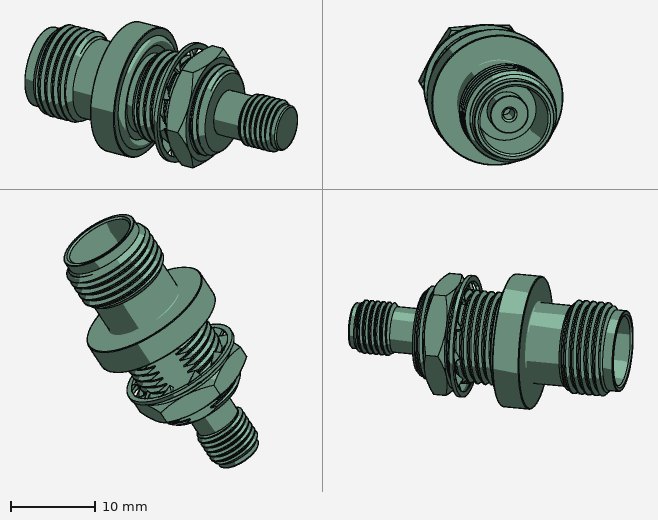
import cadquery as cq
import math

LENGTH = 33.02
BARREL_DIA = 9.65
FLANGE_START = 10.65
FLANGE_END = 13.95
FLANGE_DIA = 15.85
FLANGE_CHAMFER = 0.1
FLANGE_FILLET = 0.15
BARREL_END = 24.57
STEM_DIA = 5.45
RIM_CHAMFER = 0.05
STEM_CHAMFER = 0.15

LARGE_THREAD_DIA = 11.13
LARGE_PITCH = 3.63 / 4
LARGE_DEPTH = 0.5
LARGE_ROOT_WIDTH = 0.15
SOCKET_THREAD_START = 1.22
SOCKET_THREAD_END = 6.57
SOCKET_CREST_X = 2.25
MOUNT_THREAD_START = 14.7
MOUNT_CREST_X = 15.7
MOUNT_FLAT_Z = -4.85

SMALL_THREAD_DIA = 6.35
SMALL_PITCH = 4.95 / 7
SMALL_DEPTH = 0.4
SMALL_ROOT_WIDTH = 0.1
SMALL_THREAD_START = 27.9
SMALL_THREAD_END = 32.33
SMALL_CREST_X = 28.2

THREAD_ANGLE = 60.0
GROOVE_OVERCUT = 0.03

SOCKET_RIM_DIA = 8.75
SOCKET_MOUTH_DIA = 8.25
SOCKET_MOUTH_DEPTH = 0.2
SOCKET_FLOOR_DIA = 7.25
SOCKET_DEPTH = 5.28
BOSS_DIA = 4.55
BOSS_CHAMFER = 0.05
BOSS_FRONT = 3.1
CONTACT_RIM_DIA = 1.85
CONTACT_HOLE_DIA = 1.35
CONTACT_HOLE_DEPTH = 2.97

ORING_DIA = 13.9
ORING_SECTION_DIA = 1.2

WASHER_START = 18.95
WASHER_THICKNESS = 0.45
WASHER_DIA = 14.5
WASHER_BORE = 13.2
TOOTH_COUNT = 10
TOOTH_WIDTH = 1.9
TOOTH_TWIST = 30.0
TOOTH_ROOT_THICKNESS = WASHER_THICKNESS - 0.05
TOOTH_ROOT_RADIUS = WASHER_BORE / 2 + 0.05
TOOTH_TIP_RADIUS = LARGE_THREAD_DIA / 2 + 0.03

NUT_START = 20.2
NUT_END = 22.82
NUT_FLATS = 12.68
NUT_CHAMFER_ANGLE = 30.0


def turned(points):
    """Solid of revolution about X from an (x, radius) outline."""
    return cq.Workplane("XY").polyline(points).close().revolve(360, (0, 0, 0), (1, 0, 0))


def cylinder(start, end, diameter):
    return cq.Workplane("YZ", origin=(start, 0, 0)).circle(diameter / 2).extrude(end - start)


def groove_turn(pitch, crest_radius, depth, root_width):
    """One right-handed turn of a V groove about X that starts on the bottom line at X = 0."""
    root_radius = crest_radius - depth
    outer_radius = crest_radius + GROOVE_OVERCUT
    root_half = root_width / 2
    outer_half = root_half + (outer_radius - root_radius) * math.tan(math.radians(THREAD_ANGLE / 2))
    helix = cq.Wire.makeHelix(pitch, pitch, root_radius)
    turn = (
        cq.Workplane("XZ")
        .polyline([
            (root_radius, -root_half),
            (outer_radius, -outer_half),
            (outer_radius, outer_half),
            (root_radius, root_half),
        ])
        .close()
        .sweep(cq.Workplane(helix), isFrenet=True)
    )
    return turn.rotate((0, 0, 0), (0, 1, 0), 90)


def threaded_section(start, end, crest_x, pitch, crest_dia, base_dia, depth, root_width):
    """Threaded length whose ends are chamfered at 45 degrees down to base_dia."""
    crest_radius = crest_dia / 2
    base_radius = base_dia / 2
    chamfer = crest_radius - base_radius
    blank = turned([
        (start, 0),
        (start, base_radius),
        (start + chamfer, crest_radius),
        (end - chamfer, crest_radius),
        (end, base_radius),
        (end, 0),
    ])
    turn = groove_turn(pitch, crest_radius, depth, root_width)
    first_turn = math.floor((start - crest_x) / pitch) - 1
    last_turn = math.ceil((end - crest_x) / pitch)
    for index in range(first_turn, last_turn + 1):
        blank = blank.cut(turn.translate((crest_x + index * pitch, 0, 0)))
    return blank


def make_flange():
    """Barrel and flange, with a concave fillet where the barrel meets the flange."""
    rim = cylinder(FLANGE_START, FLANGE_END, FLANGE_DIA).faces("<X or >X").chamfer(FLANGE_CHAMFER)
    barrel = cylinder(0, MOUNT_THREAD_START, BARREL_DIA).faces("<X").chamfer(RIM_CHAMFER)
    barrel_radius = BARREL_DIA / 2
    fillet = (
        cq.Workplane("XY")
        .moveTo(FLANGE_START - FLANGE_FILLET, barrel_radius)
        .radiusArc((FLANGE_START, barrel_radius + FLANGE_FILLET), -FLANGE_FILLET)
        .lineTo(FLANGE_END, barrel_radius + FLANGE_FILLET)
        .lineTo(FLANGE_END, 0)
        .lineTo(FLANGE_START - FLANGE_FILLET, 0)
        .close()
        .revolve(360, (0, 0, 0), (1, 0, 0))
    )
    return barrel.union(fillet).union(rim)


def make_mount_thread():
    """Threaded mounting barrel with a flat along its underside."""
    thread = threaded_section(
        MOUNT_THREAD_START, BARREL_END, MOUNT_CREST_X,
        LARGE_PITCH, LARGE_THREAD_DIA, BARREL_DIA, LARGE_DEPTH, LARGE_ROOT_WIDTH,
    )
    length = BARREL_END - MOUNT_THREAD_START
    below_flat = (
        cq.Workplane("XY", origin=(MOUNT_THREAD_START, 0, MOUNT_FLAT_Z))
        .rect(2 * length, 2 * LARGE_THREAD_DIA)
        .extrude(-LARGE_THREAD_DIA)
    )
    return thread.cut(below_flat)


def make_socket():
    """Tapered socket space around the insulator boss, with the contact hole in the boss."""
    bore = turned([
        (0, 0),
        (0, SOCKET_RIM_DIA / 2),
        (SOCKET_MOUTH_DEPTH, SOCKET_MOUTH_DIA / 2),
        (SOCKET_DEPTH, SOCKET_FLOOR_DIA / 2),
        (SOCKET_DEPTH, 0),
    ])
    boss = cylinder(BOSS_FRONT, SOCKET_DEPTH, BOSS_DIA).faces("<X").chamfer(BOSS_CHAMFER)
    countersink = (CONTACT_RIM_DIA - CONTACT_HOLE_DIA) / 2
    contact_hole = turned([
        (BOSS_FRONT, 0),
        (BOSS_FRONT, CONTACT_RIM_DIA / 2),
        (BOSS_FRONT + countersink, CONTACT_HOLE_DIA / 2),
        (BOSS_FRONT + CONTACT_HOLE_DEPTH, CONTACT_HOLE_DIA / 2),
        (BOSS_FRONT + CONTACT_HOLE_DEPTH, 0),
    ])
    return bore.cut(boss).union(contact_hole)


def make_oring():
    """Round-section ring centred on the plane of the flange face."""
    section_radius = ORING_SECTION_DIA / 2
    return (
        cq.Workplane("XY")
        .center(FLANGE_END, ORING_DIA / 2 - section_radius)
        .circle(section_radius)
        .revolve(360, (-0.33, section_radius - ORING_DIA / 2, 0), (0.33, section_radius - ORING_DIA / 2, 0))
    )


def make_body(oring):
    socket_thread = threaded_section(
        SOCKET_THREAD_START, SOCKET_THREAD_END, SOCKET_CREST_X,
        LARGE_PITCH, LARGE_THREAD_DIA, BARREL_DIA, LARGE_DEPTH, LARGE_ROOT_WIDTH,
    )
    small_thread = threaded_section(
        SMALL_THREAD_START, SMALL_THREAD_END, SMALL_CREST_X,
        SMALL_PITCH, SMALL_THREAD_DIA, STEM_DIA, SMALL_DEPTH, SMALL_ROOT_WIDTH,
    )
    stem = cylinder(BARREL_END, LENGTH, STEM_DIA).faces(">X").chamfer(STEM_CHAMFER)
    body = make_flange().union(socket_thread).union(make_mount_thread())
    return body.union(stem).union(small_thread).cut(make_socket()).cut(oring)


def washer_tooth():
    """Tooth at +Z that twists about its own radial line from the root to the tip."""
    return (
        cq.Workplane("XY", origin=(0, 0, TOOTH_TIP_RADIUS))
        .transformed(rotate=(0, 0, TOOTH_TWIST))
        .rect(WASHER_THICKNESS, TOOTH_WIDTH)
        .transformed(rotate=(0, 0, -TOOTH_TWIST), offset=(0, 0, TOOTH_ROOT_RADIUS - TOOTH_TIP_RADIUS))
        .rect(TOOTH_ROOT_THICKNESS, TOOTH_WIDTH)
        .loft(ruled=True)
    )


def make_washer():
    end = WASHER_START + WASHER_THICKNESS
    washer = cylinder(WASHER_START, end, WASHER_DIA).cut(cylinder(WASHER_START, end, WASHER_BORE))
    tooth = washer_tooth().translate((WASHER_START + WASHER_THICKNESS / 2, 0, 0))
    for index in range(TOOTH_COUNT):
        angle = 90 + index * 360 / TOOTH_COUNT
        washer = washer.union(tooth.rotate((0, 0, 0), (1, 0, 0), angle))
    return washer


def make_nut():
    """Hexagon nut with flats up and down, its corners chamfered on both faces."""
    corner_dia = NUT_FLATS / math.cos(math.pi / 6)
    blank = cq.Workplane("YZ", origin=(NUT_START, 0, 0)).polygon(6, corner_dia).extrude(NUT_END - NUT_START)
    face_radius = NUT_FLATS / 2
    corner_radius = corner_dia / 2
    drop = (corner_radius - face_radius) * math.tan(math.radians(NUT_CHAMFER_ANGLE))
    envelope = turned([
        (NUT_START, 0),
        (NUT_START, face_radius),
        (NUT_START + drop, corner_radius),
        (NUT_END - drop, corner_radius),
        (NUT_END, face_radius),
        (NUT_END, 0),
    ])
    return blank.intersect(envelope).cut(cylinder(NUT_START, NUT_END, LARGE_THREAD_DIA))


oring = make_oring()
body = make_body(oring)
washer = make_washer()
nut = make_nut()

result = cq.Compound.makeCompound([body.val(), oring.val(), washer.val(), nut.val()])